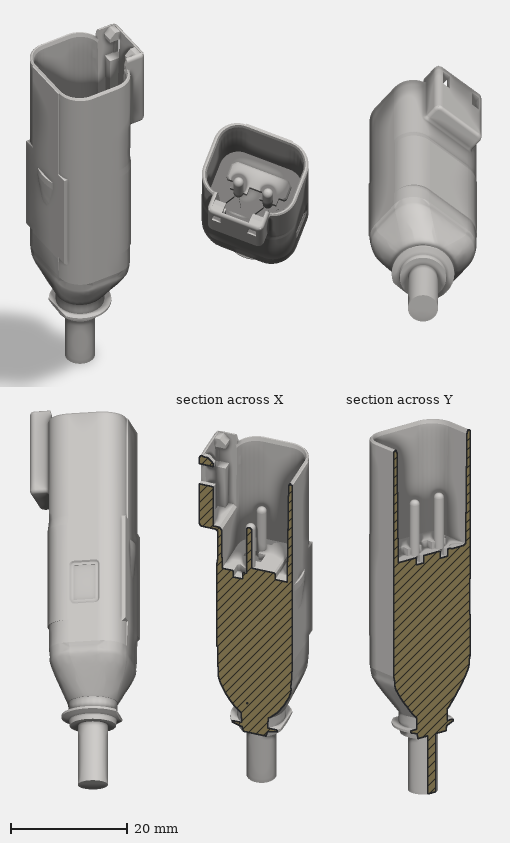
import cadquery as cq
import math

total_height = 66.55
rim_z = 64.6
shell_bottom_z = 27.3
shoulder_z = 23.2
boot_end_z = 14.65
flange_top_z = 12.5
flange_bottom_z = 11.6
boot_bottom_z = 10.65
cavity_floor_z = 43.9

shell_half_x = 17.1 / 2
shell_half_y = 6.8
shell_corner_radius = 4.25
rim_chamfer = 0.25
back_swell = 0.2
back_swell_full_z = 44.5
back_swell_start_z = 46.05

bend_z = 21.6
bend_half_x = 8.3
bend_half_y = 6.7
taper_z = 19.95
taper_half_x = 7.65
taper_half_y = 6.4
boot_end_half = 4.3

cable_radius = 2.6
neck_radius = 4.25
neck_waist_radius = 4.2
flange_radius = 5.4
flange_edge_thickness = 0.4
flange_flat_y = -4.6
collar_radius = 4.1
collar_end_radius = 4.0

mouth_half_x = 8.0
mouth_half_y = 6.45
mouth_corner_radius = 3.85
lead_in_width = 0.25
lead_in_depth = 0.65
cavity_draft = 0.25

latch_half_x = 5.1
latch_outer_y = 10.2
latch_inner_y = 6.2
latch_bottom_z = 51.7
latch_wall = 0.65
latch_floor_thickness = 0.65
latch_corner_radius = 1.05
latch_edge_radius = 0.6
latch_end_chamfer_width = 0.3
latch_end_chamfer_height = 1.3
latch_slot_draft = 0.5
latch_root_radius = 0.5
sill_back_y = 6.5
sill_depth = 1.05

catch_inner_x = 2.45
catch_front_y = 7.5
catch_top_z = 66.4
catch_bottom_z = 64.7
catch_bevel = 1.05
rail_top_z = 60.55

plate_face_y = -7.0
plate_half_x = 6.3
strip_half_x = shell_half_x - shell_corner_radius
plate_top_z = 46.25
plate_bevel = 0.5
plate_root_y = -6.1
bump_half_width = cable_radius
bump_height = 0.4
bump_top_z = 43.05
bump_ridge_z = 41.65
bump_tip_z = 36.4

label_y = -0.2
label_width = 5.3
label_bottom_z = 30.15
label_height = 7.7
label_corner_radius = 0.8
label_depth = 0.25
label_frame = 0.7
label_panel_depth = 0.1
label_side_angle = 45.0

pin_spacing = 5.4
pin_x = pin_spacing / 2
pin_y = 1.0
pin_radius = 0.85
pin_tip_radius = 0.8
pin_height = 10.0
wedge_half_x = 5.5
wedge_bottom_y = -3.8
wedge_top_y = -0.3
wedge_bottom_chamfer = 0.8
wedge_top_chamfer = 0.3
wedge_height = 1.3
wedge_bevel = 0.25
pin_block_width = 3.05
finger_top_y = 3.85
finger_top_half_x = 1.2
finger_shoulder_y = 3.4
finger_shoulder_half_x = 1.4
finger_neck_y = 1.85
finger_neck_half_x = 0.45
finger_depth = 1.3
stamp_x = -5.65
stamp_y = 2.4
stamp_radius = 1.45
stamp_depth = 0.2


def rounded_section(z, half_x, half_y, radius):
    """Rounded rectangle centred on the cable axis at height z."""
    return cq.Sketch().rect(2 * half_x, 2 * half_y).vertices().fillet(radius).moved(cq.Location((0, 0, z)))


def box_between(x_range, y_range, z_range):
    """Box given by its lower and upper limits along each axis."""
    limits = (x_range, y_range, z_range)
    sizes = [high - low for low, high in limits]
    corner = cq.Vector(*[low for low, high in limits])
    return cq.Workplane(obj=cq.Solid.makeBox(*sizes, pnt=corner))


def loft_sections(sections, ruled):
    """Solid through rounded sections, each given as height, half sizes and corner radius."""
    sketches = [rounded_section(*section) for section in sections]
    return cq.Workplane().placeSketch(*sketches).loft(ruled=ruled)


def make_shell():
    """Rounded box up to the rim, its lower part swelling a little toward +Y."""
    section = (shell_half_x, shell_half_y, shell_corner_radius)
    shell = loft_sections([(shoulder_z, *section), (rim_z, *section)], ruled=True)
    shell = shell.faces(">Z").chamfer(rim_chamfer)
    swell = loft_sections([(shell_bottom_z, *section), (back_swell_full_z, *section)], ruled=True)
    swell = swell.translate((0, back_swell, 0))
    ramp = (
        cq.Workplane()
        .placeSketch(
            rounded_section(back_swell_full_z, *section).moved(cq.Location((0, back_swell, 0))),
            rounded_section(back_swell_start_z, *section),
        )
        .loft(ruled=True)
    )
    return shell.union(swell).union(ramp)


def make_boot():
    """Smooth taper from the shell's shoulder down to the round neck."""
    sections = [
        (shoulder_z, shell_half_x, shell_half_y, shell_corner_radius),
        (bend_z, bend_half_x, bend_half_y, shell_corner_radius),
        (taper_z, taper_half_x, taper_half_y, shell_corner_radius),
        (boot_end_z, boot_end_half, boot_end_half, neck_radius),
    ]
    return loft_sections(sections, ruled=False)


def make_cable_end():
    """Neck, flange, collar and cable turned about the cable axis."""
    neck = [(0, boot_end_z), (neck_radius, boot_end_z), (neck_waist_radius, flange_top_z)]
    flange = [
        (flange_radius, flange_top_z),
        (flange_radius, flange_top_z - flange_edge_thickness),
        (collar_radius, flange_bottom_z),
    ]
    cable = [
        (collar_end_radius, boot_bottom_z),
        (cable_radius, boot_bottom_z),
        (cable_radius, 0),
        (0, 0),
    ]
    turned = cq.Workplane("XZ").polyline(neck + flange + cable).close().revolve(360, (0, 0), (0, 1))
    front_of_flat = box_between(
        (-flange_radius, flange_radius), (-2 * flange_radius, flange_flat_y), (boot_bottom_z, boot_end_z)
    )
    return turned.cut(front_of_flat)


def make_latch_housing():
    housing = box_between(
        (-latch_half_x, latch_half_x), (latch_inner_y, latch_outer_y), (latch_bottom_z, total_height)
    )
    housing = housing.edges("|Z and >Y").fillet(latch_corner_radius)
    housing = housing.edges("(>Z or <Z) and (not <Y)").fillet(latch_edge_radius)
    end_bevel = (
        cq.Workplane("YZ", origin=(-latch_half_x, 0, 0))
        .moveTo(latch_inner_y, total_height)
        .lineTo(latch_inner_y + latch_end_chamfer_width, total_height)
        .lineTo(latch_inner_y, total_height - latch_end_chamfer_height)
        .close()
        .extrude(2 * latch_half_x)
    )
    return housing.cut(end_bevel)


def make_latch_slot():
    """Drafted slot inside the latch housing, open to the plug cavity over a bevelled sill."""
    slot_floor_z = latch_bottom_z + latch_floor_thickness
    depth = total_height - slot_floor_z
    half_x = latch_half_x - latch_wall
    outer_y = latch_outer_y - latch_wall
    slot = (
        cq.Workplane(origin=(0, outer_y / 2, total_height))
        .rect(2 * half_x, outer_y)
        .extrude(-depth, taper=math.degrees(math.atan(latch_slot_draft / depth)))
    )
    sill_half_x = half_x - latch_slot_draft
    sill_front_y = sill_back_y - sill_depth
    sill = (
        cq.Workplane("YZ", origin=(-sill_half_x, 0, 0))
        .moveTo(sill_back_y, slot_floor_z)
        .lineTo(sill_front_y, slot_floor_z)
        .lineTo(sill_front_y, slot_floor_z - sill_depth)
        .close()
        .extrude(2 * sill_half_x)
    )
    return slot.union(sill)


def make_catches():
    """Bevelled catch at the mouth and guide rail below it, on each side of the slot."""
    catches = cq.Workplane()
    outer_x = latch_half_x - latch_wall / 2
    y_range = (catch_front_y, latch_outer_y - latch_wall / 2)
    for x_range in ((catch_inner_x, outer_x), (-outer_x, -catch_inner_x)):
        catch = box_between(x_range, y_range, (catch_bottom_z, catch_top_z))
        catch = catch.edges(">Z and <Y").chamfer(catch_bevel)
        rail = box_between(x_range, y_range, (latch_bottom_z + latch_floor_thickness / 2, rail_top_z))
        catches = catches.add(catch).add(rail)
    return catches.combine()


def make_latch_windows():
    """Openings through the +Y wall between each catch and its rail."""
    half_x = latch_half_x - latch_corner_radius
    windows = cq.Workplane()
    for x_range in ((catch_inner_x, half_x), (-half_x, -catch_inner_x)):
        windows = windows.add(
            box_between(x_range, (catch_front_y, latch_outer_y + latch_wall), (rail_top_z, catch_bottom_z))
        )
    return windows.combine()


def make_cavity():
    """Drafted cavity with a steeper lead-in at its mouth."""
    throat_z = rim_z - lead_in_depth
    insets = (
        (rim_z, 0),
        (throat_z, lead_in_width),
        (cavity_floor_z, lead_in_width + cavity_draft),
    )
    sections = [
        (z, mouth_half_x - inset, mouth_half_y - inset, mouth_corner_radius - inset) for z, inset in insets
    ]
    lead_in = loft_sections(sections[:2], ruled=True)
    return lead_in.union(loft_sections(sections[1:], ruled=True))


def make_plate():
    """Raised strip from shoulder to rim, and a wider plate with a bevelled lower end."""
    plate = box_between(
        (-plate_half_x, plate_half_x), (plate_face_y, plate_root_y), (shell_bottom_z, plate_top_z)
    )
    plate = plate.edges("<Z and <Y").chamfer(plate_bevel)
    strip_top_z = rim_z - rim_chamfer
    strip = (
        cq.Workplane("YZ", origin=(-strip_half_x, 0, 0))
        .moveTo(-mouth_half_y, strip_top_z)
        .lineTo(plate_face_y, strip_top_z)
        .lineTo(plate_face_y, shell_bottom_z)
        .lineTo(-shell_half_y, shoulder_z)
        .lineTo(-mouth_half_y, shoulder_z)
        .close()
        .extrude(2 * strip_half_x)
    )
    return plate.union(strip)


def bump_wire(z, sink):
    """Arched outline standing on the plate at height z, sunk into it by the given amount."""
    base_y = plate_face_y + sink
    return (
        cq.Workplane(origin=(0, 0, z))
        .moveTo(-bump_half_width, base_y)
        .threePointArc((0, base_y - bump_height), (bump_half_width, base_y))
        .close()
        .val()
    )


def make_bump():
    head = cq.Solid.makeLoft([bump_wire(bump_top_z, 0), bump_wire(bump_ridge_z, 0)], True)
    tail = cq.Solid.makeLoft([bump_wire(bump_ridge_z, 0), bump_wire(bump_tip_z, bump_height)], True)
    return cq.Workplane(obj=head).union(cq.Workplane(obj=tail))


def make_label_recess():
    centre = (-shell_half_x, label_y, label_bottom_z + label_height / 2)
    outline = cq.Sketch().rect(label_width, label_height).vertices().fillet(label_corner_radius)
    recess = (
        cq.Workplane("YZ", origin=centre).placeSketch(outline).extrude(label_depth, taper=label_side_angle)
    )
    panel = (
        cq.Workplane("YZ", origin=centre)
        .rect(label_width - 2 * label_frame, label_height - 2 * label_frame)
        .extrude(label_depth + label_panel_depth)
    )
    return recess.union(panel)


def make_wedge_lock():
    """Raised slab on the cavity floor with a block reaching up under each pin."""
    wedge = box_between(
        (-wedge_half_x, wedge_half_x),
        (wedge_bottom_y, wedge_top_y),
        (cavity_floor_z, cavity_floor_z + wedge_height),
    )
    wedge = wedge.edges("|Z and <Y").chamfer(wedge_bottom_chamfer)
    wedge = wedge.edges("|Z and >Y").chamfer(wedge_top_chamfer)
    wedge = wedge.faces(">Z").edges("not >Y").chamfer(wedge_bevel)
    for x in (-pin_x, pin_x):
        block = box_between(
            (x - pin_block_width / 2, x + pin_block_width / 2),
            (wedge_top_y - wedge_top_chamfer, pin_y),
            (cavity_floor_z, cavity_floor_z + wedge_height),
        )
        wedge = wedge.union(block)
    return wedge


def make_pins():
    pins = cq.Workplane(origin=(0, 0, cavity_floor_z)).pushPoints([(-pin_x, pin_y), (pin_x, pin_y)])
    return pins.circle(pin_radius).extrude(pin_height).faces(">Z").edges().fillet(pin_tip_radius)


def make_floor_recesses():
    """Finger pockets beside the pins and a round stamp pocket in the cavity floor."""
    recesses = (
        cq.Workplane(origin=(stamp_x, stamp_y, cavity_floor_z)).circle(stamp_radius).extrude(-stamp_depth)
    )
    right_side = [
        (finger_top_half_x, finger_top_y),
        (finger_shoulder_half_x, finger_shoulder_y),
        (finger_neck_half_x, finger_neck_y),
        (finger_neck_half_x, pin_y),
    ]
    left_side = [(-x, y) for x, y in reversed(right_side)]
    for x in (-pin_x, pin_x):
        finger = (
            cq.Workplane(origin=(x, 0, cavity_floor_z))
            .polyline(right_side + left_side)
            .close()
            .extrude(-finger_depth)
        )
        recesses = recesses.union(finger)
    return recesses


select_margin = 0.05
housing = make_shell().union(make_latch_housing())
latch_root_box = cq.selectors.BoxSelector(
    (-latch_half_x - select_margin, latch_inner_y, latch_bottom_z),
    (latch_half_x + select_margin, shell_half_y + select_margin, rim_z),
)
housing = housing.edges("|Z").edges(latch_root_box).fillet(latch_root_radius)
housing = housing.union(make_boot()).union(make_cable_end())
housing = housing.cut(make_cavity()).cut(make_latch_slot())
housing = housing.union(make_catches()).cut(make_latch_windows())
housing = housing.union(make_plate()).union(make_bump())
housing = housing.cut(make_label_recess()).cut(make_floor_recesses())
result = housing.union(make_wedge_lock()).union(make_pins())